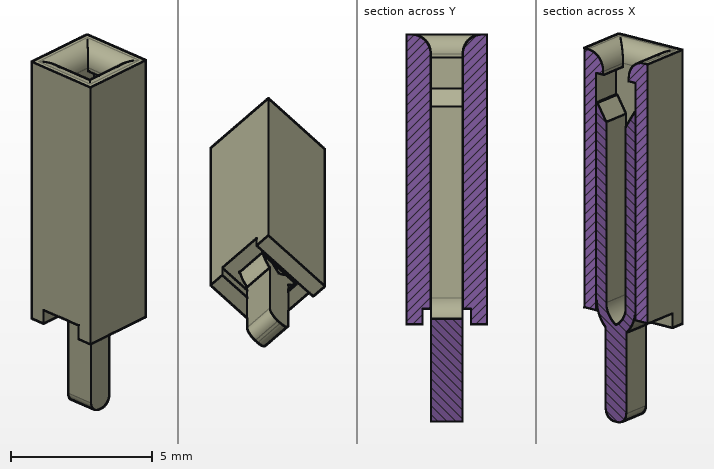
import cadquery as cq
import math

side = 2.85
total_height = 13.66
housing_bottom = 3.43
foot_height = 0.55
foot_slot_width = 1.7

rim_width = 0.18
opening = 1.12
throat_depth = 0.14
half_opening = opening / 2
half_rim = side / 2 - rim_width
mouth_radius = half_rim - half_opening
throat_top = total_height - mouth_radius
throat_bottom = throat_top - throat_depth

pin_thickness = 0.94
tip_radius = 0.41
half_pin = pin_thickness / 2
half_gap = 0.42
leaf_thickness = 0.45
leaf_end_thickness = 0.05
leaf_flare_height = 0.63
leaf_top_drop = 1.09
half_contact = half_gap + leaf_thickness
half_entry = half_contact - leaf_end_thickness
leaf_top = throat_bottom - leaf_top_drop

inner_radius = 2 * half_gap
outer_radius = inner_radius + leaf_thickness
spring_line = housing_bottom + math.sqrt(outer_radius**2 - (half_pin + half_gap) ** 2)
inner_valley = spring_line - math.sqrt(inner_radius**2 - half_gap**2)


def arc_point(radius, y):
    """Point at y on the right-hand arc of the U."""
    return y, spring_line - math.sqrt(radius**2 - (y + half_gap) ** 2)


def mirrored(point):
    return -point[0], point[1]


def make_flare(plane):
    """Bell-mouth profile in the given vertical plane, extruded across the rim."""
    mid_offset = mouth_radius * (1 - math.sqrt(0.5))
    bell_mid = (half_opening + mid_offset, throat_top + mouth_radius * math.sqrt(0.5))
    return (
        cq.Workplane(plane)
        .moveTo(-half_opening, throat_bottom)
        .lineTo(half_opening, throat_bottom)
        .lineTo(half_opening, throat_top)
        .threePointArc(bell_mid, (half_rim, total_height))
        .lineTo(-half_rim, total_height)
        .threePointArc(mirrored(bell_mid), (-half_opening, throat_top))
        .close()
        .extrude(half_rim, both=True)
    )


def make_housing():
    housing_height = total_height - housing_bottom
    body = cq.Workplane().box(side, side, housing_height, centered=(True, True, False))
    body = body.translate((0, 0, housing_bottom))
    foot_slot = cq.Workplane().box(foot_slot_width, side, foot_height, centered=(True, True, False))
    cavity = cq.Workplane().box(
        opening, 2 * half_contact, throat_bottom - housing_bottom, centered=(True, True, False)
    )
    for cut in (foot_slot, cavity):
        body = body.cut(cut.translate((0, 0, housing_bottom)))
    mouth = make_flare("XZ").intersect(make_flare("YZ"))
    return body.cut(mouth)


def make_contact():
    outer_mid = arc_point(outer_radius, (half_pin + half_contact) / 2)
    inner_mid = arc_point(inner_radius, half_gap / 2)
    flare_bottom = leaf_top - leaf_flare_height
    contact = (
        cq.Workplane("YZ")
        .moveTo(-half_pin, 0)
        .lineTo(half_pin, 0)
        .lineTo(half_pin, housing_bottom)
        .threePointArc(outer_mid, (half_contact, spring_line))
        .lineTo(half_contact, leaf_top)
        .lineTo(half_entry, leaf_top)
        .lineTo(half_gap, flare_bottom)
        .lineTo(half_gap, spring_line)
        .threePointArc(inner_mid, (0, inner_valley))
        .threePointArc(mirrored(inner_mid), (-half_gap, spring_line))
        .lineTo(-half_gap, flare_bottom)
        .lineTo(-half_entry, leaf_top)
        .lineTo(-half_contact, leaf_top)
        .lineTo(-half_contact, spring_line)
        .threePointArc(mirrored(outer_mid), (-half_pin, housing_bottom))
        .close()
        .extrude(half_opening, both=True)
    )
    return contact.faces("<Z").edges("|X").fillet(tip_radius)


housing = make_housing()
contact = make_contact()
result = cq.Compound.makeCompound([housing.val(), contact.val()])